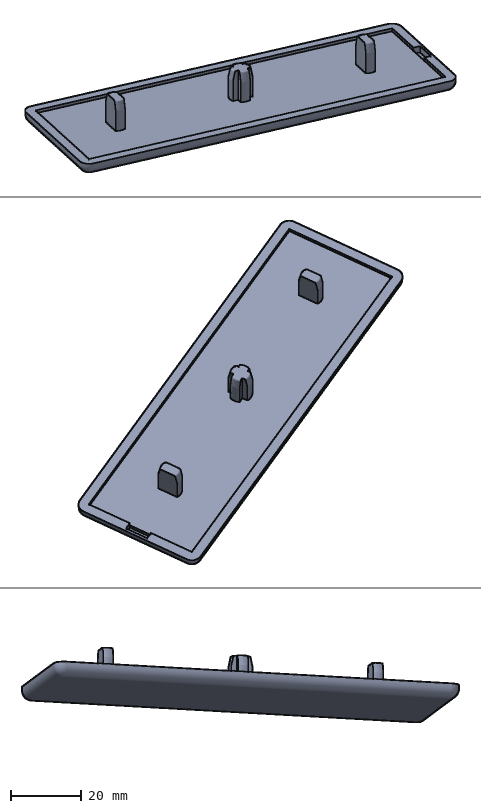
import cadquery as cq

length = 120.0
width = 40.0
plate_height = 4.0
edge_radius = 3.0

rim_width = 3.0
tray_depth = 1.0
floor_z = plate_height - tray_depth

total_height = 12.5
peg_radius = 3.5
peg_thickness = 3.0
peg_tip_radius = 2.9
taper_height = 3.0
tip_fillet = 0.5
peg_spacing = length / 3

notch_width = 2 * peg_radius
notch_wall = 0.8
notch_depth = 2.0


def make_plate():
    """Rounded plate with a rectangular tray sunk into its top."""
    plate = (
        cq.Workplane("XY")
        .box(width, length, plate_height, centered=(True, True, False))
        .edges("|Z")
        .fillet(edge_radius)
        .faces("<Z")
        .edges()
        .fillet(edge_radius)
    )
    tray = (
        cq.Workplane("XY")
        .workplane(offset=floor_z)
        .rect(width - 2 * rim_width, length - 2 * rim_width)
        .extrude(tray_depth)
    )
    return plate.cut(tray)


def make_notch():
    """Pocket opening from the tray into the rim, leaving a thin outer wall."""
    notch_length = rim_width - notch_wall
    return (
        cq.Workplane("XY")
        .workplane(offset=plate_height - notch_depth)
        .center(0, length / 2 - rim_width + notch_length / 2)
        .rect(notch_width, notch_length)
        .extrude(notch_depth)
    )


def make_round_peg():
    """Round pin with a tapered and softened tip, standing on the tray floor."""
    shaft_height = total_height - floor_z - taper_height
    return (
        cq.Workplane("XY")
        .workplane(offset=floor_z)
        .circle(peg_radius)
        .extrude(shaft_height)
        .faces(">Z")
        .workplane()
        .circle(peg_radius)
        .workplane(offset=taper_height)
        .circle(peg_tip_radius)
        .loft(ruled=True)
        .faces(">Z")
        .edges()
        .fillet(tip_fillet)
    )


def make_blade(size_x, size_y):
    """Part of the round pin lying within a rectangle of the given size."""
    limits = cq.Workplane("XY").box(size_x, size_y, total_height, centered=(True, True, False))
    return make_round_peg().intersect(limits)


peg_diameter = 2 * peg_radius
flat_peg = make_blade(peg_diameter, peg_thickness)
cross_peg = flat_peg.union(make_blade(peg_thickness, peg_diameter))

result = make_plate().cut(make_notch()).union(cross_peg)
for peg_y in (-peg_spacing, peg_spacing):
    result = result.union(flat_peg.translate((0, peg_y, 0)))